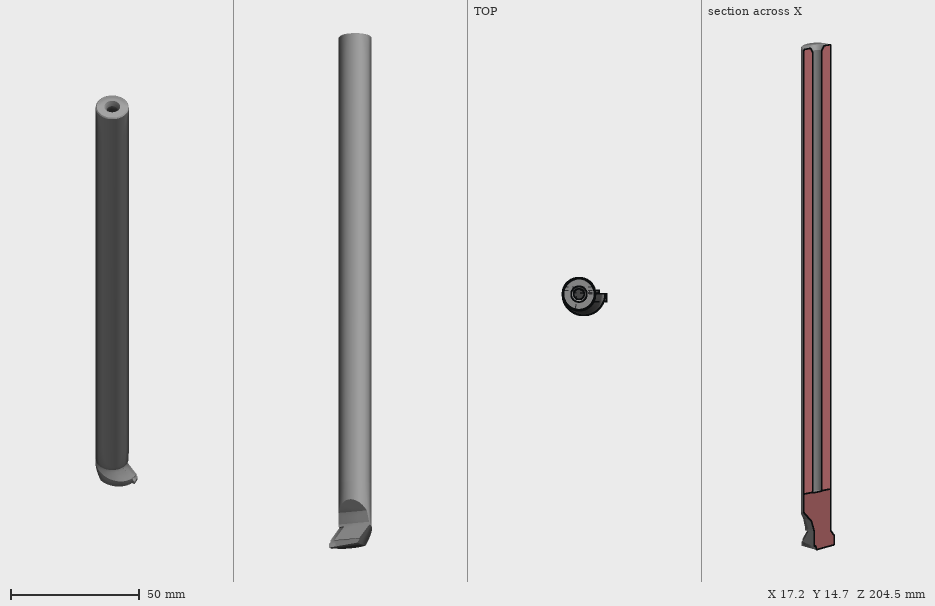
import cadquery as cq

total_length = 204.5
bar_diameter = 12.9
bar_radius = bar_diameter / 2
head_length = 24.3

rim_chamfer = 0.5
hole_diameter = 4.0
countersink_diameter = 6.1
countersink_depth = 1.8

flare_top = 7.5
flare_run = 6.0
nose_overhang = 1.8
nose_radius = bar_radius + nose_overhang
nose_offset = 1.8
heel_x = -0.92
heel_z = 0.8

rake_start_z = 17.0
rake_bend_y = 2.9
rake_bend_z = 12.9
rake_flat_y = 1.53
rake_flat_top = 8.5
chip_step_z = 2.5
chip_step_y = 0.8
chip_groove_x = 8.0

tip_x = 10.73
tip_inner_x = 4.0
tip_back_y = -2.9
tip_front_y = 0.2
tip_height = 1.5
relief_slope = 0.08

clearance = 20.5


def make_shank():
    """Straight round bar with a chamfered end and a countersunk axial hole."""
    shank = (
        cq.Workplane("XY").workplane(offset=head_length)
        .circle(bar_radius).extrude(total_length - head_length)
        .faces(">Z").chamfer(rim_chamfer)
    )
    bore = (
        cq.Workplane("XY").workplane(offset=head_length)
        .circle(hole_diameter / 2).extrude(total_length - head_length)
    )
    countersink = cq.Workplane(obj=cq.Solid.makeCone(
        hole_diameter / 2, countersink_diameter / 2, countersink_depth,
        pnt=cq.Vector(0, 0, total_length - countersink_depth),
    ))
    return shank.cut(bore).cut(countersink)


def make_flared_nose():
    """Cone spreading below the bar, trimmed by an offset round outline."""
    cone = cq.Workplane(obj=cq.Solid.makeCone(bar_radius + flare_run, bar_radius, flare_top))
    outline = cq.Workplane("XY").center(nose_offset, 0).circle(nose_radius).extrude(flare_top)
    return cone.intersect(outline)


def make_tip():
    """Narrow cutting tip that reaches farthest toward +X."""
    rise = (tip_x - tip_inner_x) * flare_top / flare_run
    tip_top = min(flare_top, tip_height + rise)
    shoulder_x = tip_x - (tip_top - tip_height) * flare_run / flare_top
    return (
        cq.Workplane("XZ", origin=(0, tip_front_y, 0))
        .polyline([
            (tip_inner_x, 0), (tip_x, 0), (tip_x, tip_height),
            (shoulder_x, tip_top), (tip_inner_x, tip_top),
        ])
        .close().extrude(tip_front_y - tip_back_y)
    )


def make_rake_cut():
    """Material removed from the +Y side to form the rake face and chip step."""
    return (
        cq.Workplane("YZ")
        .polyline([
            (bar_radius, rake_start_z), (rake_bend_y, rake_bend_z),
            (rake_flat_y, rake_flat_top), (rake_flat_y, chip_step_z),
            (chip_step_y, chip_step_z), (tip_front_y, 0),
            (clearance, 0), (clearance, rake_start_z),
        ])
        .close().extrude(clearance, both=True)
    )


def make_flank_groove():
    """Chip groove on the rake face, running parallel to the +X flank of the nose."""
    groove_top_x = chip_groove_x - (flare_top - chip_step_z) * flare_run / flare_top
    return (
        cq.Workplane("XZ", origin=(0, tip_front_y, 0))
        .polyline([
            (chip_groove_x, 0), (chip_groove_x, chip_step_z), (groove_top_x, flare_top),
            (clearance, flare_top), (clearance, 0),
        ])
        .close().extrude(-clearance)
    )


def make_heel_cut():
    """Wedge removed from the lower -X side of the nose."""
    return (
        cq.Workplane("XZ")
        .polyline([
            (-bar_radius, flare_top), (heel_x, heel_z), (heel_x, 0),
            (-clearance, 0), (-clearance, flare_top),
        ])
        .close().extrude(clearance, both=True)
    )


def make_relief_cut():
    """Block whose sloping top leaves clearance behind the cutting point."""
    plane = cq.Plane(
        origin=(tip_x, tip_front_y, 0),
        xDir=(1, 0, -relief_slope),
        normal=(relief_slope, relief_slope, 1),
    )
    return cq.Workplane(plane).rect(2 * clearance, 2 * clearance).extrude(-clearance)


def make_head():
    """Round neck carrying the flared nose and the cutting tip."""
    neck = cq.Workplane("XY").circle(bar_radius).extrude(head_length)
    head = neck.union(make_flared_nose()).union(make_tip())
    for cutter in (make_rake_cut(), make_flank_groove(), make_heel_cut(), make_relief_cut()):
        head = head.cut(cutter)
    return head


shank = make_shank()
head = make_head()

result = cq.Compound.makeCompound([shank.val(), head.val()])